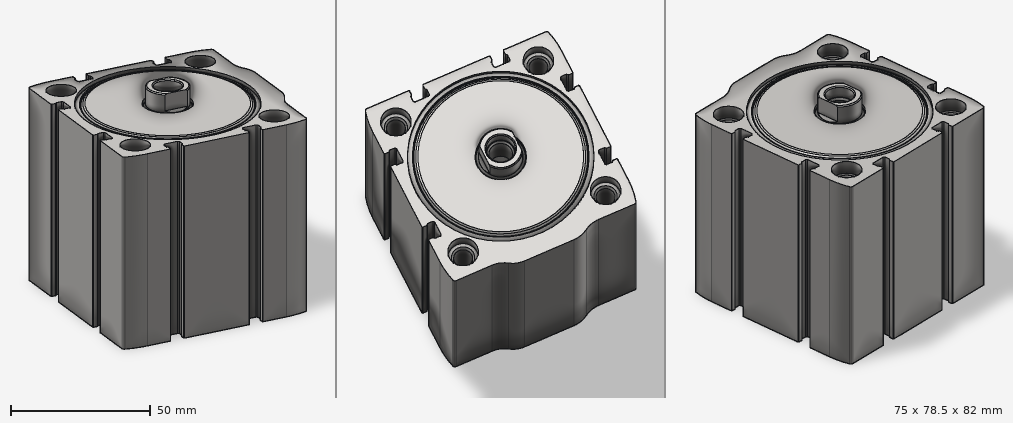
import cadquery as cq
import math

overall_height = 82.0

width = 75.0
half = width / 2
height = width
pad_rise = 3.45
pad_half = 9.8
pad_blend_radius = 10.0
flank_flat_half = 28.3
flank_radius = 32.0
corner_fillet = 1.1

slot_offset = 16.0
slot_mouth = 5.25
slot_mouth_bevel = 0.25
slot_mouth_depth = 1.9
slot_width = 6.4
slot_depth = 5.0
slot_chamfer = 0.5

mount_offset = 28.3
mount_bore = 6.8
mount_chamfer = 8.4
mount_counterbore = 11.0
mount_counterbore_depth = 5.0

cap_groove_profile = [
    (67.0 / 2, 0),
    (67.0 / 2, 1.3),
    (31.7, 0.4),
    (63.0 / 2, 0.8),
    (31.25, 0.8),
    (30.5, 0.25),
    (29.8, 0),
]

wiper_recess_diameter = 18.4
wiper_lip_diameter = 17.8
wiper_lip_depth = 0.4

rod_diameter = 16.0
rod_radius = rod_diameter / 2
rod_protrusion = overall_height - height
rod_socket_depth = 32.8
rod_chamfer = 0.4
rod_across_flats = 13.0
flat_end_height = 0.3
flat_runout_angle = 30.0
rod_hole_rim = 11.3
rod_hole_entry = 10.5
rod_hole_entry_depth = 4.5
rod_hole_seat = 10.0
rod_hole_core = 8.5
rod_hole_depth = 16.4
drill_point_angle = 118.0


def revolved(points):
    """Solid of revolution about Z from a closed (radius, z) outline."""
    return cq.Workplane("XZ").polyline(points).close().revolve(360, (0, 0), (0, 1))


def flank_x(y):
    """X of the +X flank at a place beyond its flat stretch."""
    run = abs(y) - flank_flat_half
    return half - flank_radius + math.sqrt(flank_radius**2 - run**2)


def make_block():
    """Block with flat Y sides and X sides that curve inward near the corners."""
    corner_x = flank_x(half)
    arc_middle_y = (flank_flat_half + half) / 2
    arc_middle_x = flank_x(arc_middle_y)
    outline = (
        cq.Workplane("XY")
        .moveTo(-corner_x, -half)
        .lineTo(corner_x, -half)
        .threePointArc((arc_middle_x, -arc_middle_y), (half, -flank_flat_half))
        .lineTo(half, flank_flat_half)
        .threePointArc((arc_middle_x, arc_middle_y), (corner_x, half))
        .lineTo(-corner_x, half)
        .threePointArc((-arc_middle_x, arc_middle_y), (-half, flank_flat_half))
        .lineTo(-half, -flank_flat_half)
        .threePointArc((-arc_middle_x, -arc_middle_y), (-corner_x, -half))
        .close()
    )
    block = outline.extrude(height)
    return block.edges("|Z").edges(">Y or <Y").fillet(corner_fillet)


def make_pad():
    """Raised pad on the +Y side; its root reaches into the block so that the two fuse."""
    blend_run = math.sqrt(pad_rise * (4 * pad_blend_radius - pad_rise))
    foot = pad_half + blend_run
    middle = (pad_half + foot) / 2
    crown_y = half + pad_rise
    middle_y = half + pad_rise / 2
    root_y = half - pad_rise
    right_half = (
        cq.Workplane("XY")
        .moveTo(0, crown_y)
        .lineTo(pad_half, crown_y)
        .tangentArcPoint((middle, middle_y), relative=False)
        .tangentArcPoint((foot, half), relative=False)
        .lineTo(foot, root_y)
        .lineTo(0, root_y)
        .close()
        .extrude(height)
    )
    return right_half.union(right_half.mirror("YZ"))


def make_slot():
    """Full-height T-slot cutter that opens at the -Y face, centred on X = 0."""
    mouth_x = slot_mouth / 2
    chamber_x = slot_width / 2
    lip_y = -half + slot_mouth_depth
    floor_y = -half + slot_depth
    right_side = [
        (mouth_x + slot_mouth_bevel, -half),
        (mouth_x, -half + slot_mouth_bevel),
        (mouth_x, lip_y),
        (chamber_x - slot_chamfer, lip_y),
        (chamber_x, lip_y + slot_chamfer),
        (chamber_x, floor_y - slot_chamfer),
        (chamber_x - slot_chamfer, floor_y),
    ]
    left_side = [(-x, y) for x, y in reversed(right_side)]
    return cq.Workplane("XY").polyline(right_side + left_side).close().extrude(height)


def make_mount_hole():
    """Counterbored, chamfered through hole on the Z axis."""
    floor = height - mount_counterbore_depth
    bore_radius = mount_bore / 2
    chamfer_radius = mount_chamfer / 2
    return revolved([
        (0, 0),
        (bore_radius, 0),
        (bore_radius, floor - (chamfer_radius - bore_radius)),
        (chamfer_radius, floor),
        (mount_counterbore / 2, floor),
        (mount_counterbore / 2, height),
        (0, height),
    ])


def make_cap_groove():
    """Ring cutter for the stepped groove around the cap."""
    return revolved([(radius, height - depth) for radius, depth in cap_groove_profile])


def make_rod_opening():
    """Blind rod bore that opens through a recess with a 45 degree wiper lip."""
    recess_radius = wiper_recess_diameter / 2
    lip_radius = wiper_lip_diameter / 2
    lip_z = height - wiper_lip_depth
    recess_floor = lip_z - (lip_radius - rod_radius)
    return revolved([
        (0, height - rod_socket_depth),
        (rod_radius, height - rod_socket_depth),
        (rod_radius, lip_z),
        (lip_radius, recess_floor),
        (recess_radius, recess_floor),
        (recess_radius, height),
        (0, height),
    ])


def make_housing():
    """Block and pad with their slots, mounting holes, cap groove and rod opening."""
    housing = make_block().union(make_pad())
    slot = make_slot()
    for turn in (-90, 0, 90):
        for x in (-slot_offset, slot_offset):
            housing = housing.cut(slot.translate((x, 0, 0)).rotate((0, 0, 0), (0, 0, 1), turn))
    mount_hole = make_mount_hole()
    for x in (-mount_offset, mount_offset):
        for y in (-mount_offset, mount_offset):
            housing = housing.cut(mount_hole.translate((x, y, 0)))
    return housing.cut(make_cap_groove()).cut(make_rod_opening())


def make_rod_hole(top):
    """Stepped blind hole with a chamfered rim and a drill point."""
    rim_radius = rod_hole_rim / 2
    entry_radius = rod_hole_entry / 2
    seat_radius = rod_hole_seat / 2
    core_radius = rod_hole_core / 2
    entry_floor = top - rod_hole_entry_depth
    core_floor = top - rod_hole_depth
    point_depth = core_radius / math.tan(math.radians(drill_point_angle / 2))
    return revolved([
        (0, core_floor - point_depth),
        (core_radius, core_floor),
        (core_radius, entry_floor - (seat_radius - core_radius)),
        (seat_radius, entry_floor),
        (entry_radius, entry_floor),
        (entry_radius, top - (rim_radius - entry_radius)),
        (rim_radius, top),
        (0, top),
    ])


def make_flat_cutter(top):
    """Cutter for the wrench flat on the +X side, with its sloping run-out."""
    flat_x = rod_across_flats / 2
    outer_x = rod_diameter
    flat_z = height + flat_end_height
    runout_drop = (outer_x - flat_x) * math.tan(math.radians(flat_runout_angle))
    return (
        cq.Workplane("XZ")
        .polyline([(flat_x, top), (flat_x, flat_z), (outer_x, flat_z - runout_drop), (outer_x, top)])
        .close()
        .extrude(rod_radius, both=True)
    )


def make_rod():
    """Rod with a chamfered end, two wrench flats and a stepped hole."""
    top = height + rod_protrusion
    length = rod_socket_depth + rod_protrusion
    rod = cq.Workplane("XY").workplane(offset=height - rod_socket_depth).circle(rod_radius).extrude(length)
    rod = rod.faces(">Z").chamfer(rod_chamfer)
    flat_cutter = make_flat_cutter(top)
    rod = rod.cut(flat_cutter).cut(flat_cutter.mirror("YZ"))
    return rod.cut(make_rod_hole(top))


housing = make_housing()
piston_rod = make_rod()
result = cq.Compound.makeCompound([housing.val(), piston_rod.val()])